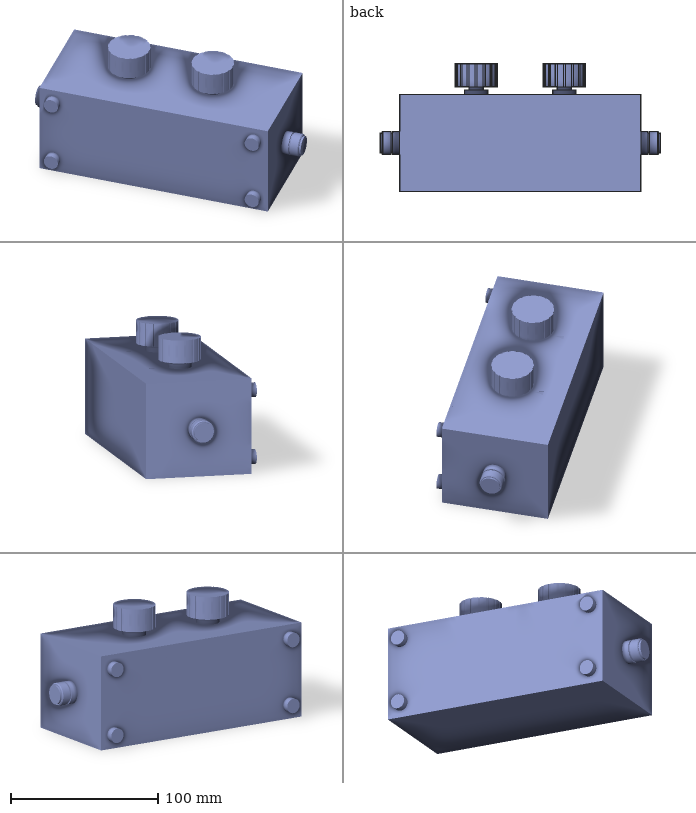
import cadquery as cq

box_length = 163.8
box_height = 66.1
core_depth = 71.0
panel_thickness = 1.5

foot_diameter = 10.1
foot_height = 5.0
foot_inset = 10.0

knob_spacing = 60.0
collar_diameter = 16.0
collar_height = 3.0
shaft_diameter = 10.0
shaft_length = 2.1
knob_diameter = 29.0
knob_height = 15.8
flute_count = 16
flute_width = 1.5
flute_depth = 0.4

mark_width = 3.5
mark_length = 6.1
mark_tip_offset = 15.5
mark_depth = 0.2

overall_length = 190.5
connector_diameter = 15.8
connector_length = (overall_length - box_length) / 2
connector_base_length = 4.8
groove_width = 1.1
groove_depth = 1.0
tip_diameter = 13.3
tip_length = 1.3
sleeve_chamfer = 0.5

top_z = box_height / 2
end_x = box_length / 2
core_half_depth = core_depth / 2
panel_centre_y = core_half_depth + panel_thickness / 2
panel_outer_y = core_half_depth + panel_thickness
knob_xs = (-knob_spacing / 2, knob_spacing / 2)


def make_knob(x):
    """Collar, shaft and fluted grip standing on the top face."""
    collar = cq.Workplane("XY").circle(collar_diameter / 2).extrude(collar_height)
    shaft = cq.Workplane("XY").circle(shaft_diameter / 2).extrude(collar_height + shaft_length)
    grip_base = cq.Workplane("XY").workplane(offset=collar_height + shaft_length)
    grip = grip_base.circle(knob_diameter / 2).extrude(knob_height)
    core = grip_base.circle(knob_diameter / 2 - flute_depth).extrude(knob_height)
    flute_bars = (
        grip_base.polarArray(knob_diameter / 2, 0, 360, flute_count)
        .rect(knob_diameter, flute_width)
        .extrude(knob_height)
    )
    fluted_grip = grip.cut(flute_bars).union(core)
    return collar.union(shaft).union(fluted_grip).translate((x, 0, top_z))


def make_index_mark(x):
    """Shallow triangular recess whose tip points at the knob."""
    base_y = mark_tip_offset + mark_length
    outline = [(x, mark_tip_offset), (x + mark_width / 2, base_y), (x - mark_width / 2, base_y)]
    floor = cq.Workplane("XY").workplane(offset=top_z - mark_depth)
    return floor.polyline(outline).close().extrude(mark_depth)


def make_connector(angle):
    """Grooved round connector along +X, turned about Z to face its end of the box."""
    radius = connector_diameter / 2
    groove_radius = radius - groove_depth
    tip_radius = tip_diameter / 2
    groove_start = end_x + connector_base_length
    groove_end = groove_start + groove_width
    tip_end = end_x + connector_length
    sleeve_end = tip_end - tip_length
    profile = [
        (end_x, 0),
        (end_x, radius),
        (groove_start, radius),
        (groove_start, groove_radius),
        (groove_end, groove_radius),
        (groove_end, radius),
        (sleeve_end - sleeve_chamfer, radius),
        (sleeve_end, radius - sleeve_chamfer),
        (sleeve_end, tip_radius),
        (tip_end, tip_radius),
        (tip_end, 0),
    ]
    body = cq.Workplane("XY").polyline(profile).close().revolve(360, (0, 0, 0), (1, 0, 0))
    return body.rotate((0, 0, 0), (0, 0, 1), angle)


def make_housing():
    """Core with its knobs, index marks and connectors as one solid."""
    housing = cq.Workplane("XY").box(box_length, core_depth, box_height)
    for x in knob_xs:
        housing = housing.union(make_knob(x)).cut(make_index_mark(x))
    for angle in (0, 180):
        housing = housing.union(make_connector(angle))
    return housing


def make_panel(y_centre):
    """Flat panel flush with the core on all four sides."""
    return cq.Workplane("XY").box(box_length, panel_thickness, box_height).translate((0, y_centre, 0))


def make_front_panel():
    """Front panel with a foot near each corner."""
    panel = make_panel(-panel_centre_y)
    feet = (
        cq.Workplane("XZ", origin=(0, -panel_outer_y, 0))
        .rect(box_length - 2 * foot_inset, box_height - 2 * foot_inset, forConstruction=True)
        .vertices()
        .circle(foot_diameter / 2)
        .extrude(foot_height)
    )
    return panel.union(feet)


housing = make_housing()
front_panel = make_front_panel()
rear_panel = make_panel(panel_centre_y)

result = cq.Compound.makeCompound([housing.val(), front_panel.val(), rear_panel.val()])